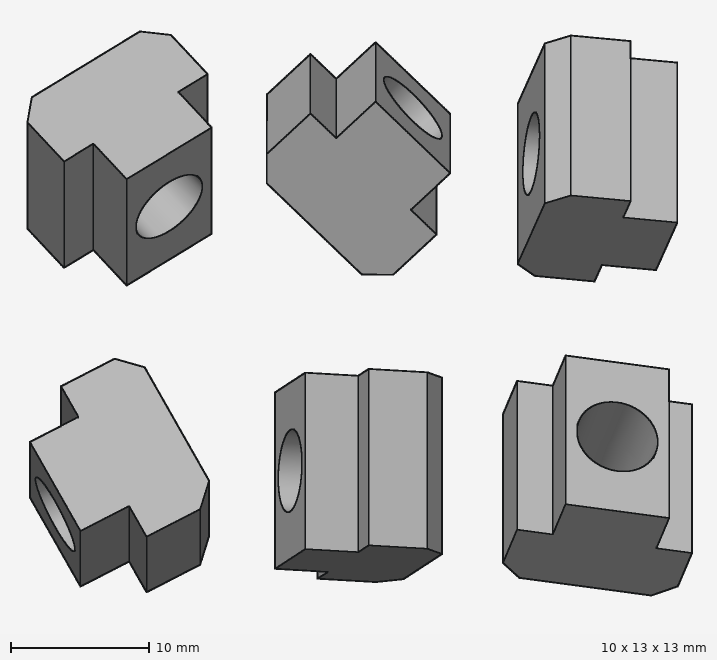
import cadquery as cq

height = 13.0
flange_width = 13.0
total_depth = 10.0
flange_depth = 6.0
neck_width = 7.7
chamfer = 1.6
bore_diameter = 6.0

back = -total_depth / 2
front = total_depth / 2
shoulder = back + flange_depth


def make_body():
    """Extrude the T-shaped section, centred on the origin, along Z."""
    half_flange = flange_width / 2
    half_neck = neck_width / 2
    half_outline = [
        (back, 0),
        (back, half_flange - chamfer),
        (back + chamfer, half_flange),
        (shoulder, half_flange),
        (shoulder, half_neck),
        (front, half_neck),
        (front, 0),
    ]
    section = cq.Workplane("XY").polyline(half_outline).mirrorX()
    return section.extrude(height / 2, both=True)


def make_bore():
    """Round hole running along X through the flange and neck."""
    return cq.Workplane("YZ").circle(bore_diameter / 2).extrude(total_depth / 2, both=True)


result = make_body().cut(make_bore())